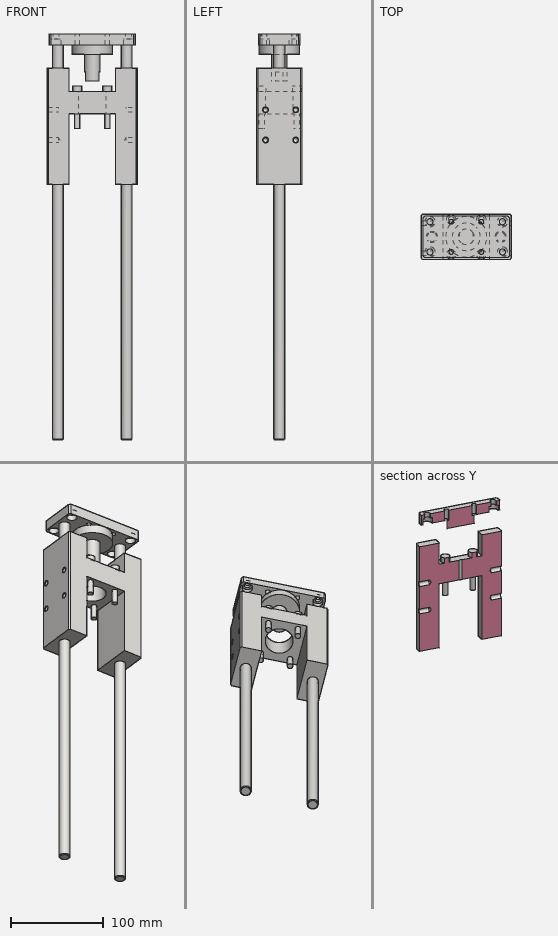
import cadquery as cq
import math


hole_pitch = 32.5
tapped_hole_diameter = 5.15

plate_length = 93.0
plate_width = 45.0
plate_thickness = 12.0
plate_corner_chamfer = 2.0
plate_screw_hole_diameter = 6.6
plate_counterbore_diameter = 11.0
plate_counterbore_depth = 6.5
plate_screw_hole_spacing_x = 78.0

flange_diameter = 44.0
flange_thickness = 10.0
stem_diameter = 17.0
stem_bottom_z = -51.0
stem_flat_width = 15.0
stem_flat_height = 10.0

body_length = 97.0
body_width = 49.0
body_height = 125.0
body_top_z = -37.0
body_edge_chamfer = 1.5
leg_gap = 50.0
web_top_z = -62.0
web_thickness = 24.0
web_bore_diameter = 30.0
body_bottom_z = body_top_z - body_height
web_bottom_z = web_top_z - web_thickness

side_hole_depth = 12.0
side_hole_mouth_diameter = 6.3
side_hole_pattern_y = -1.5
side_hole_pattern_z = -98.0
drill_point_angle = 118.0

rod_diameter = 12.0
rod_spacing = 74.0
rod_end_z = -437.0
rod_end_chamfer = 1.0

bolt_diameter = 6.0
bolt_length = 40.0
bolt_head_diameter = 10.0
bolt_head_height = 6.0
bolt_row_spacing = 38.0


def cylinder(diameter, top_z, bottom_z, x=0.0, y=0.0):
    """Vertical cylinder between two heights."""
    return cq.Workplane("XY", origin=(x, y, top_z)).circle(diameter / 2).extrude(bottom_z - top_z)


def block(length, width, top_z, bottom_z):
    """Box centred on the Z axis between two heights."""
    return cq.Workplane("XY", origin=(0, 0, top_z)).rect(length, width).extrude(bottom_z - top_z)


def corners(spacing_x, spacing_y):
    """The four corner positions of a centred rectangle."""
    return [(sx * spacing_x / 2, sy * spacing_y / 2) for sx in (-1, 1) for sy in (-1, 1)]


def make_plate():
    counterbore_top_z = plate_counterbore_depth - plate_thickness
    plate = block(plate_length, plate_width, 0, -plate_thickness)
    plate = plate.edges("|Z").chamfer(plate_corner_chamfer)
    for x, y in corners(plate_screw_hole_spacing_x, hole_pitch):
        plate = plate.cut(cylinder(plate_screw_hole_diameter, 0, -plate_thickness, x, y))
        plate = plate.cut(cylinder(plate_counterbore_diameter, counterbore_top_z, -plate_thickness, x, y))
    for x, y in corners(hole_pitch, hole_pitch):
        plate = plate.cut(cylinder(tapped_hole_diameter, 0, -plate_thickness, x, y))
    return plate


def make_coupling():
    flange_bottom_z = -plate_thickness - flange_thickness
    flat_top_z = stem_bottom_z + stem_flat_height
    flange = cylinder(flange_diameter, -plate_thickness, flange_bottom_z)
    round_stem = cylinder(stem_diameter, flange_bottom_z, flat_top_z)
    stem_end = cylinder(stem_diameter, flat_top_z, stem_bottom_z)
    flatted_end = stem_end.intersect(block(stem_flat_width, stem_diameter, flat_top_z, stem_bottom_z))
    return flange.union(round_stem).union(flatted_end)


def make_side_hole(side, y, z):
    """Blind hole going into one leg, with a 45 degree countersink and a conical drill point."""
    mouth_radius = side_hole_mouth_diameter / 2
    hole_radius = tapped_hole_diameter / 2
    countersink_depth = mouth_radius - hole_radius
    point_depth = hole_radius / math.tan(math.radians(drill_point_angle / 2))
    profile = [
        (0, 0),
        (0, mouth_radius),
        (countersink_depth, hole_radius),
        (side_hole_depth, hole_radius),
        (side_hole_depth + point_depth, 0),
    ]
    outline = [(-side * depth, radius) for depth, radius in profile]
    mouth = (side * body_length / 2, y, z)
    return cq.Workplane("XY", origin=mouth).polyline(outline).close().revolve(360, (0, 0), (1, 0))


def make_body():
    body = block(body_length, body_width, body_top_z, body_bottom_z)
    body = body.edges("|Z").chamfer(body_edge_chamfer)
    body = body.cut(block(leg_gap, body_width, body_top_z, web_top_z))
    body = body.cut(block(leg_gap, body_width, web_bottom_z, body_bottom_z))
    body = body.cut(cylinder(web_bore_diameter, web_top_z, web_bottom_z))
    for side in (-1, 1):
        for y, z in corners(hole_pitch, hole_pitch):
            body = body.cut(make_side_hole(side, side_hole_pattern_y + y, side_hole_pattern_z + z))
    return body


def make_rod(x):
    rod = cylinder(rod_diameter, -plate_thickness, rod_end_z, x)
    return rod.faces("<Z").chamfer(rod_end_chamfer)


def make_bolt(x, y):
    head = cylinder(bolt_head_diameter, web_top_z + bolt_head_height, web_top_z, x, y)
    shank = cylinder(bolt_diameter, web_top_z, web_top_z - bolt_length, x, y)
    return head.union(shank)


result = make_body().union(make_plate()).union(make_coupling())
for rod_x in (-rod_spacing / 2, rod_spacing / 2):
    result = result.union(make_rod(rod_x))
for bolt_x, bolt_y in corners(hole_pitch, bolt_row_spacing):
    result = result.union(make_bolt(bolt_x, bolt_y))

result = cq.Workplane(result.solids().val())